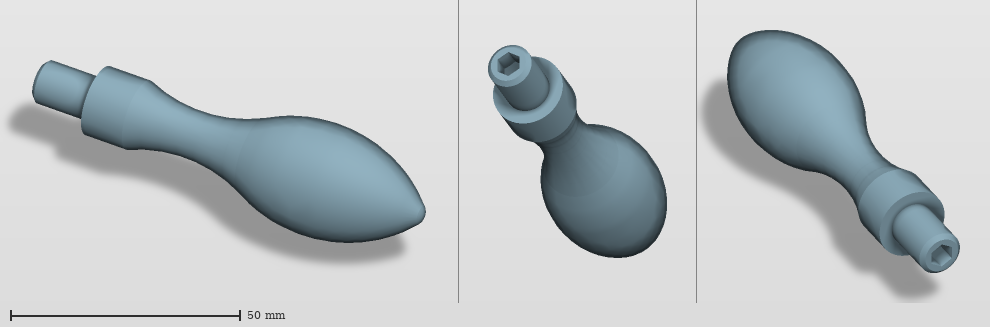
import cadquery as cq
import math


stud_diameter = 10.0
stud_length = 14.0
stud_chamfer = 1.0

socket_across_flats = 5.0
socket_depth = 5.0
socket_tip_angle = 120.0
hexagon_sides = 6

collar_diameter = 16.0
collar_length = 10.0
neck_end = 38.0
neck_end_diameter = 17.3
neck_radius = 35.0
bulb_diameter = 25.6
bulb_widest = 53.5
nose_start = 79.2
nose_diameter = 4.3
grip_length = 80.0


def make_handle():
    """Revolve the half profile of stud, collar, neck, bulb and nose."""
    stud_radius = stud_diameter / 2
    collar_radius = collar_diameter / 2
    bulb_radius = bulb_diameter / 2
    neck_start = (collar_length, collar_radius)
    neck_finish = (neck_end, neck_end_diameter / 2)
    nose_rim = (nose_start, nose_diameter / 2)
    nose_height = grip_length - nose_start
    nose_radius = ((nose_diameter / 2) ** 2 + nose_height**2) / (2 * nose_height)

    profile = (
        cq.Workplane("XY")
        .moveTo(-stud_length, 0)
        .lineTo(-stud_length, stud_radius - stud_chamfer)
        .lineTo(-stud_length + stud_chamfer, stud_radius)
        .lineTo(0, stud_radius)
        .lineTo(0, collar_radius)
        .lineTo(*neck_start)
        .radiusArc(neck_finish, -neck_radius)
        .threePointArc((bulb_widest, bulb_radius), nose_rim)
        .radiusArc((grip_length, 0), nose_radius)
        .close()
    )
    return profile.revolve(360, (0, 0, 0), (1, 0, 0))


def make_socket():
    """Hexagon with two corners along Z, closed by a drill-point cone."""
    corner_diameter = socket_across_flats / math.cos(math.pi / hexagon_sides)
    corner_radius = corner_diameter / 2
    tip_depth = corner_radius / math.tan(math.radians(socket_tip_angle / 2))
    prism = (
        cq.Workplane("YZ", origin=(-stud_length, 0, 0))
        .transformed(rotate=(0, 0, 90))
        .polygon(hexagon_sides, corner_diameter)
        .extrude(socket_depth + tip_depth)
    )
    drill = (
        cq.Workplane("XY")
        .moveTo(-stud_length, 0)
        .lineTo(-stud_length, corner_radius)
        .lineTo(-stud_length + socket_depth, corner_radius)
        .lineTo(-stud_length + socket_depth + tip_depth, 0)
        .close()
        .revolve(360, (0, 0, 0), (1, 0, 0))
    )
    return prism.intersect(drill)


result = make_handle().cut(make_socket())